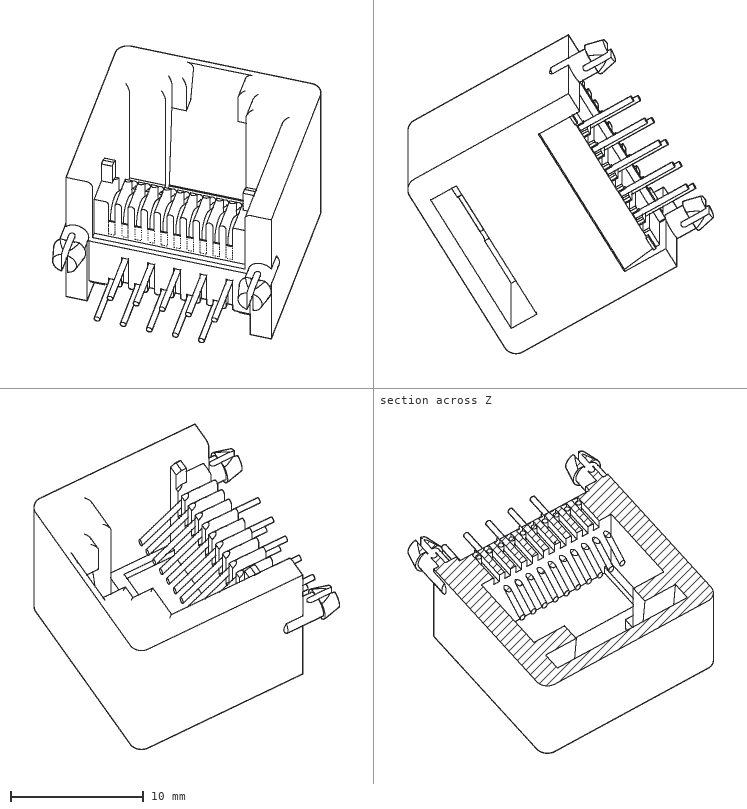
import cadquery as cq
import math


body_half_width = 8.03
body_depth = 14.45
body_height = 13.0
back_corner_radius = 0.99
cut_margin = 0.9
select_margin = 0.02

socket_half_width = 5.95
socket_back = 10.19
shoulder_half_width = 3.15
shoulder_back = 11.92
latch_half_width = 2.02
latch_top_back = 14.0
latch_back = 13.25
latch_slope_bottom = 10.42
latch_bottom = 9.95
rim_radius = 0.5

floor_top = 2.16
floor_back = 11.02
ledge_front = 9.18
ledge_top = 3.24
contact_pocket_half_width = 5.35
contact_pocket_back = 7.74
contact_pocket_bottom = 1.44

comb_front = 0.47
comb_back = 3.35
comb_top = 10.73
comb_sill = 7.04
comb_slot_bottom = 8.68
comb_slot_width = 0.5
comb_lip = 0.09
comb_channel_bottom = 7.2
comb_chamfer_depth = 0.47
comb_chamfer_height = 0.25
post_inner = 5.11
post_front = 2.47
post_top = 12.56

recess_half_width = 6.37
recess_top = 6.59
recess_depth = 0.54
panel_bottom = 1.65
pin_slot_depth = 0.54
pin_slot_flare = 0.13
foot_inner = 5.25
foot_bottom = 1.2
foot_setback = 0.32
floor_front = 3.6
floor_edge_height = 0.5

pin_count = 10
pin_row_span = 9.18
pin_pitch = pin_row_span / (pin_count - 1)
wire_diameter = 0.45
wire_radius = wire_diameter / 2
pin_slot_width = 0.54
pin_tip = -3.55
low_pin_z = 2.12
high_pin_z = 4.66
contact_bend_radius = 0.99
contact_bend_angle = 36.0
contact_front = 1.0
contact_crest = 9.72
contact_tip = 6.75
contact_embed = 0.36

peg_x = 7.25
peg_z = 6.98
peg_radius = 1.0
peg_root = 1.67
peg_root_chamfer = 0.25
barb_radius = 1.25
barb_tip_radius = 0.94
barb_start = -1.67
barb_rim = 0.1
peg_tip = -3.11
peg_slot_width = 0.49
peg_slot_end = -0.85


def block(x0, x1, y0, y1, z0, z1):
    return cq.Workplane("XY").box(x1 - x0, y1 - y0, z1 - z0, centered=False).translate((x0, y0, z0))


def centered_block(half_width, y0, y1, z0, z1):
    return block(-half_width, half_width, y0, y1, z0, z1)


def side_profile(points, half_width):
    """Extrude a (Y, Z) outline symmetrically about X = 0."""
    return cq.Workplane("YZ").polyline(points).close().extrude(half_width, both=True)


def along_y(x, z, radius, y0, y1):
    """Round bar between two Y positions."""
    return cq.Workplane("XZ", origin=(x, y0, z)).circle(radius).extrude(y0 - y1)


def make_shell():
    shell = centered_block(body_half_width, 0, body_depth, 0, body_height)
    shell = shell.edges("|Z and >Y").fillet(back_corner_radius)
    right_side = [
        (socket_half_width, -cut_margin),
        (socket_half_width, socket_back),
        (shoulder_half_width, socket_back),
        (shoulder_half_width, shoulder_back),
        (latch_half_width, shoulder_back),
        (latch_half_width, latch_top_back),
    ]
    left_side = [(-x, y) for x, y in reversed(right_side)]
    opening = (
        cq.Workplane("XY", origin=(0, 0, comb_top))
        .polyline(right_side + left_side)
        .close()
        .extrude(body_height)
    )
    shell = shell.cut(opening)
    rim_box = cq.selectors.BoxSelector(
        (-recess_half_width, 0, body_height - select_margin),
        (recess_half_width, latch_top_back - select_margin, body_height + select_margin),
    )
    return shell.edges(rim_box).fillet(rim_radius)


def make_latch_slot(shell):
    throat = centered_block(latch_half_width, socket_back, latch_top_back, latch_bottom, comb_top)
    back_slope = side_profile(
        [
            (latch_top_back, body_height),
            (latch_back, latch_slope_bottom),
            (latch_back, latch_bottom),
            (latch_top_back, latch_bottom),
        ],
        latch_half_width + rim_radius,
    )
    undercut = side_profile(
        [(floor_back, 0), (shoulder_back, latch_bottom), (latch_back, latch_bottom), (latch_back, 0)],
        socket_half_width,
    )
    return shell.cut(throat).union(back_slope).cut(undercut)


def make_well(shell):
    main = centered_block(socket_half_width, comb_back, ledge_front, floor_top, comb_top)
    above_ledge = centered_block(socket_half_width, ledge_front, socket_back, ledge_top, comb_top)
    middle = centered_block(shoulder_half_width, ledge_front, shoulder_back, floor_top, comb_top)
    contact_pocket = centered_block(
        contact_pocket_half_width, comb_back, contact_pocket_back, contact_pocket_bottom, floor_top
    )
    return shell.cut(main).cut(above_ledge).cut(middle).cut(contact_pocket)


def make_comb(shell):
    shell = shell.cut(centered_block(socket_half_width, 0, comb_front, comb_sill, comb_top))

    tooth_radius = (pin_pitch - comb_slot_width) / 2
    round_bottom = comb_top - tooth_radius
    half_slot = comb_slot_width / 2
    half_mouth = half_slot + tooth_radius
    corner_offset = tooth_radius * (1 - math.sqrt(0.5))
    slot = (
        cq.Workplane("XZ", origin=(0, comb_back, 0))
        .moveTo(-half_slot, comb_slot_bottom)
        .lineTo(half_slot, comb_slot_bottom)
        .lineTo(half_slot, round_bottom)
        .threePointArc((half_slot + corner_offset, comb_top - corner_offset), (half_mouth, comb_top))
        .lineTo(-half_mouth, comb_top)
        .threePointArc((-half_slot - corner_offset, comb_top - corner_offset), (-half_slot, round_bottom))
        .close()
        .extrude(comb_back)
    )
    channel = centered_block(
        half_slot, comb_front + comb_lip, comb_back, comb_channel_bottom, comb_slot_bottom
    )
    slot = slot.union(channel)
    for x in pin_positions:
        shell = shell.cut(slot.translate((x, 0, 0)))

    chamfer_front = comb_back - comb_chamfer_depth
    comb_chamfer = side_profile(
        [(chamfer_front, comb_top), (comb_back, comb_top), (comb_back, comb_top - comb_chamfer_height)],
        post_inner,
    )
    shell = shell.cut(comb_chamfer)

    posts = side_profile(
        [
            (post_front, comb_sill),
            (post_front, post_top),
            (chamfer_front, post_top),
            (comb_back, post_top - comb_chamfer_height),
            (comb_back, comb_sill),
        ],
        socket_half_width,
    )
    return shell.union(posts.cut(centered_block(post_inner, 0, body_depth, 0, body_height)))


def make_pin_recess(shell):
    panel_back = recess_depth + pin_slot_depth
    recess = side_profile(
        [
            (0, 0),
            (0, recess_top),
            (recess_depth, recess_top),
            (recess_depth, panel_bottom),
            (panel_back, panel_bottom),
            (floor_front, floor_edge_height),
            (floor_front, 0),
        ],
        recess_half_width,
    )
    feet = centered_block(
        recess_half_width, recess_depth + foot_setback, panel_back, foot_bottom, panel_bottom
    )
    feet = feet.cut(centered_block(foot_inner, 0, body_depth, 0, body_height))
    shell = shell.cut(recess).union(feet)

    half_slot = pin_slot_width / 2
    half_mouth = half_slot + pin_slot_flare
    for x, z in zip(pin_positions, pin_heights):
        slot = (
            cq.Workplane("XZ", origin=(x, panel_back, 0))
            .polyline(
                [
                    (-half_mouth, panel_bottom),
                    (-half_slot, panel_bottom + pin_slot_flare),
                    (-half_slot, z + wire_radius),
                    (half_slot, z + wire_radius),
                    (half_slot, panel_bottom + pin_slot_flare),
                    (half_mouth, panel_bottom),
                ]
            )
            .close()
            .extrude(pin_slot_depth)
        )
        shell = shell.cut(slot)
    return shell


def make_contact(x):
    """Wire rising from the comb channel, bent over and sloping down into the socket."""
    angle = math.radians(contact_bend_angle)
    bend_y = contact_front + contact_bend_radius
    bend_z = contact_crest - contact_bend_radius
    bend_end_y = bend_y + contact_bend_radius * math.sin(angle)
    bend_end_z = bend_z + contact_bend_radius * math.cos(angle)
    wire_end_y = contact_tip + 2 * wire_radius
    wire_end_z = bend_end_z - (wire_end_y - bend_end_y) * math.tan(angle)
    foot_z = comb_channel_bottom - contact_embed
    path = (
        cq.Workplane("YZ", origin=(x, 0, 0))
        .moveTo(contact_front, foot_z)
        .lineTo(contact_front, bend_z)
        .threePointArc((bend_y, contact_crest), (bend_end_y, bend_end_z))
        .lineTo(wire_end_y, wire_end_z)
    )
    wire = cq.Workplane("XY", origin=(x, contact_front, foot_z)).circle(wire_radius).sweep(path)
    return wire.cut(block(x - wire_radius, x + wire_radius, contact_tip, body_depth, 0, body_height))


def make_peg():
    """Split snap peg on the right side wall."""
    shaft = along_y(peg_x, peg_z, peg_radius, barb_start, peg_root)
    shaft = shaft.faces(">Y").chamfer(peg_root_chamfer)
    barb_rim_end = barb_start - barb_rim
    barb = along_y(peg_x, peg_z, barb_radius, barb_rim_end, barb_start)
    taper = (
        cq.Workplane("XZ", origin=(peg_x, barb_rim_end, peg_z))
        .circle(barb_radius)
        .workplane(offset=barb_rim_end - peg_tip)
        .circle(barb_tip_radius)
        .loft(ruled=True)
    )
    flats = block(
        peg_x - barb_radius, peg_x + barb_radius, peg_tip, barb_start, peg_z - peg_radius, peg_z + peg_radius
    )
    barb = barb.union(taper).intersect(flats)
    half_slot = peg_slot_width / 2
    slot_round_y = peg_slot_end - half_slot
    slot = (
        cq.Workplane("XY", origin=(peg_x, 0, peg_z))
        .moveTo(-half_slot, peg_tip)
        .lineTo(-half_slot, slot_round_y)
        .threePointArc((0, peg_slot_end), (half_slot, slot_round_y))
        .lineTo(half_slot, peg_tip)
        .close()
        .extrude(barb_radius, both=True)
    )
    return shaft.union(barb).cut(slot)


pin_positions = [(i - (pin_count - 1) / 2) * pin_pitch for i in range(pin_count)]
pin_heights = [low_pin_z if i % 2 == 0 else high_pin_z for i in range(pin_count)]

jack = make_shell()
jack = make_latch_slot(jack)
jack = make_well(jack)
jack = make_comb(jack)
jack = make_pin_recess(jack)

pin_root = recess_depth + 2 * pin_slot_depth
for x, z in zip(pin_positions, pin_heights):
    jack = jack.union(along_y(x, z, wire_radius, pin_tip, pin_root))
    jack = jack.union(make_contact(x))

peg = make_peg()
jack = jack.union(peg).union(peg.mirror("YZ"))

result = jack